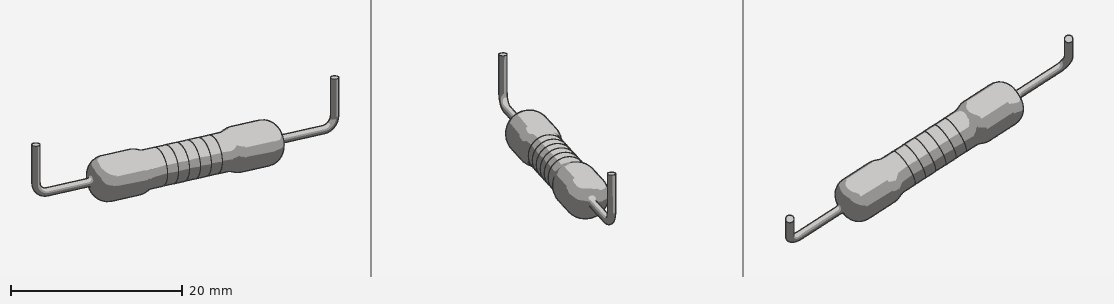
import cadquery as cq
import math


lead_diameter = 1.0
lead_radius = lead_diameter / 2
overall_length = 41.0
overall_height = 9.1
bend_radius = 1.5

cap_diameter = 5.5
cap_radius = cap_diameter / 2
cap_end = 12.55
dome_radius = 2.0
cap_inner_edge = 6.75
neck_fillet_radius = 0.5
neck_outer_radius = lead_radius + neck_fillet_radius

core_diameter = 4.7
recess_diameter = 4.67
core_radius = core_diameter / 2
recess_radius = recess_diameter / 2
segment_count = 7
segment_width = 1.466
core_half_length = segment_count * segment_width / 2

lead_tip_y = overall_length / 2 - lead_radius
lead_tip_z = overall_height - cap_radius
bend_start_y = lead_tip_y - bend_radius
dome_start = cap_end - dome_radius
dome_center_radius = cap_radius - dome_radius
neck_base = dome_start + math.sqrt(dome_radius**2 - (neck_outer_radius - dome_center_radius) ** 2)
neck_end = neck_base + neck_fillet_radius

taper_mid = (cap_inner_edge + core_half_length) / 2
taper_mid_radius = (cap_radius + core_radius) / 2

diagonal = math.sqrt(0.5)


def make_half_body():
    """Revolve the +Y half: core, taper, cap, dome and the fillet onto the lead."""
    dome_angle = math.atan2(neck_base - dome_start, neck_outer_radius - dome_center_radius) / 2
    dome_mid = (
        dome_center_radius + dome_radius * math.cos(dome_angle),
        dome_start + dome_radius * math.sin(dome_angle),
    )
    neck_mid = (
        neck_outer_radius - neck_fillet_radius * diagonal,
        neck_end - neck_fillet_radius * diagonal,
    )
    profile = (
        cq.Workplane("XY")
        .moveTo(0, 0)
        .lineTo(core_radius, 0)
        .lineTo(core_radius, core_half_length)
        .tangentArcPoint((taper_mid_radius, taper_mid), relative=False)
        .tangentArcPoint((cap_radius, cap_inner_edge), relative=False)
        .lineTo(cap_radius, dome_start)
        .threePointArc(dome_mid, (neck_outer_radius, neck_base))
        .threePointArc(neck_mid, (lead_radius, neck_end))
        .lineTo(0, neck_end)
        .close()
    )
    return profile.revolve(360, (0, 0, 0), (0, 1, 0))


def make_recess(center_y):
    """Ring-shaped cutter that turns one segment of the core down to the recess diameter."""
    return (
        cq.Workplane("XZ", origin=(0, center_y + segment_width / 2, 0))
        .circle(cap_radius)
        .circle(recess_radius)
        .extrude(segment_width)
    )


def make_lead():
    """Sweep the +Y lead from the end of the neck, round the bend and up to its tip."""
    bend_mid = (bend_start_y + bend_radius * diagonal, bend_radius * (1 - diagonal))
    path = (
        cq.Workplane("YZ")
        .moveTo(neck_end, 0)
        .lineTo(bend_start_y, 0)
        .threePointArc(bend_mid, (lead_tip_y, bend_radius))
        .lineTo(lead_tip_y, lead_tip_z)
    )
    section = cq.Workplane("XZ", origin=(0, neck_end, 0)).circle(lead_radius)
    return section.sweep(path)


half = make_half_body().union(make_lead())
result = half.union(half.mirror("XZ"))

for segment in range(1, segment_count, 2):
    result = result.cut(make_recess((segment + 0.5) * segment_width - core_half_length))